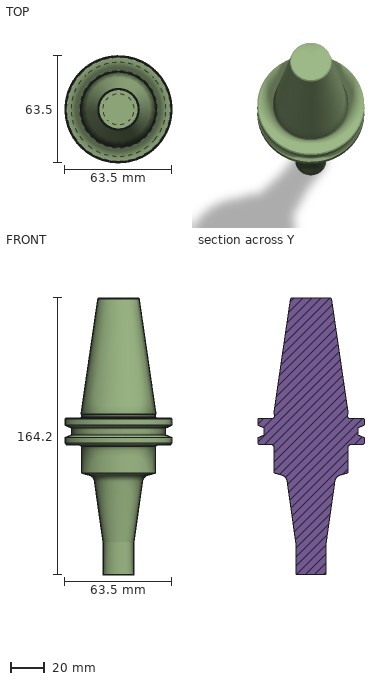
import cadquery as cq

total_length = 164.2
taper_length = 68.8
gauge_height = total_length - taper_length
flange_top = 93.0
flange_bottom = 77.0
groove_top = 87.0
groove_bottom = 83.0
collar_bottom = 60.3
nose_cone_top = 55.4
nose_cone_bottom = 19.4

end_chamfer = 0.7

gauge_radius = 44.5 / 2
taper_ratio = 7 / 24
small_end_radius = gauge_radius - (taper_length - end_chamfer) * taper_ratio / 2
neck_radius = 21.8
flange_radius = 63.5 / 2
groove_radius = 56.0 / 2
collar_radius = 44.0 / 2
nose_cone_radius = 14.3
nose_radius = 18.4 / 2

neck_step = 0.3
neck_foot_chamfer = 0.7
rim_chamfer = 0.7
bottom_chamfer = 1.0
groove_flank_height = 1.6
collar_chamfer = 1.0
shoulder_radius = 17.9
shoulder_drop = 1.1
shoulder_arc_middle = (15.3, 57.7)


def shank_profile():
    """Half section of the turned body in the XZ plane, from the tip upwards."""
    return (
        cq.Workplane("XZ")
        .lineTo(nose_radius, 0)
        .lineTo(nose_radius, nose_cone_bottom)
        .lineTo(nose_cone_radius, nose_cone_top)
        .threePointArc(shoulder_arc_middle, (shoulder_radius, collar_bottom - shoulder_drop))
        .lineTo(collar_radius, collar_bottom)
        .lineTo(collar_radius, flange_bottom - collar_chamfer)
        .lineTo(collar_radius + collar_chamfer, flange_bottom)
        .lineTo(flange_radius - bottom_chamfer, flange_bottom)
        .lineTo(flange_radius, flange_bottom + bottom_chamfer)
        .lineTo(flange_radius, groove_bottom - groove_flank_height)
        .lineTo(groove_radius, groove_bottom)
        .lineTo(groove_radius, groove_top)
        .lineTo(flange_radius, groove_top + groove_flank_height)
        .lineTo(flange_radius, flange_top - rim_chamfer)
        .lineTo(flange_radius - rim_chamfer, flange_top)
        .lineTo(neck_radius + neck_foot_chamfer, flange_top)
        .lineTo(neck_radius, flange_top + neck_foot_chamfer)
        .lineTo(neck_radius, gauge_height - neck_step)
        .lineTo(gauge_radius, gauge_height)
        .lineTo(small_end_radius, total_length - end_chamfer)
        .lineTo(small_end_radius - end_chamfer, total_length)
        .lineTo(0, total_length)
        .close()
    )


result = shank_profile().revolve(360, (0, 0, 0), (0, 1, 0))